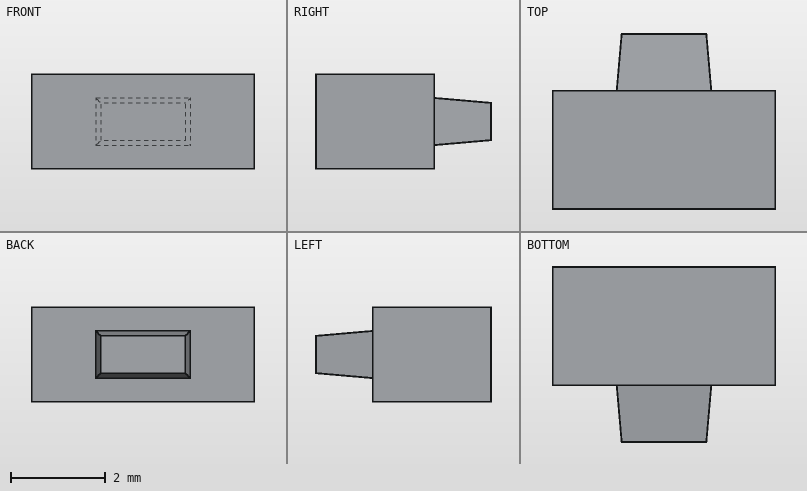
import cadquery as cq

body_width = 4.7
body_depth = 2.5
body_height = 2.0

stud_base_width = body_height
stud_base_height = body_height / 2
stud_length = 1.2
stud_draft_angle = 5.0


def make_body():
    """Block with its back face lying on the XZ plane."""
    return cq.Workplane("XY").box(body_width, body_depth, body_height).translate((0, -body_depth / 2, 0))


def make_stud():
    """Rectangular stud that narrows on all four sides toward +Y."""
    back_face = cq.Workplane(cq.Plane(origin=(0, 0, 0), xDir=(1, 0, 0), normal=(0, 1, 0)))
    return back_face.rect(stud_base_width, stud_base_height).extrude(stud_length, taper=stud_draft_angle)


result = make_body().union(make_stud())